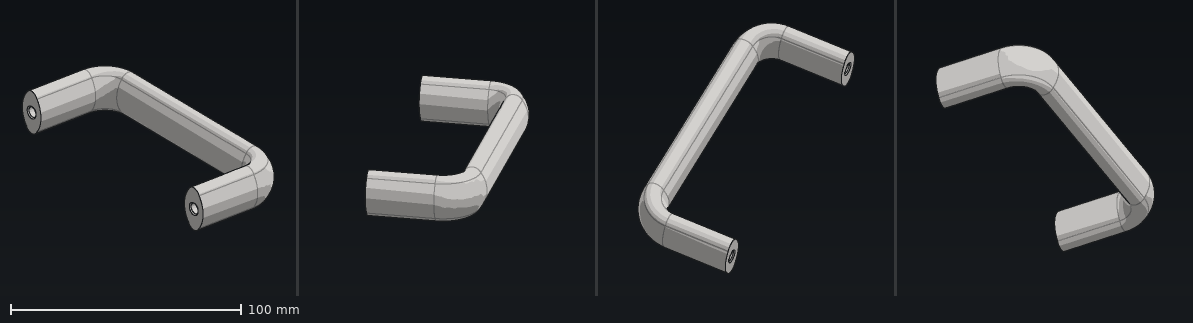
import cadquery as cq
import math

length = 125.0
reach = 50.0
height = 21.0

thickness = 13.0
seam_half_width = 3.8
seam_half_height = 8.1

bend_radius = 13.0

hole_diameter = 4.9
countersink_diameter = 6.0
hole_depth = 15.0
drill_point_angle = 118.0

leg_x = (length - thickness) / 2
grip_y = reach - thickness / 2
bend_start_y = grip_y - bend_radius
bend_end_x = leg_x - bend_radius


def bar_path():
    """Centreline: up one leg, along the grip and down the other leg."""
    mid_x = bend_end_x + bend_radius * math.sqrt(0.5)
    mid_y = bend_start_y + bend_radius * math.sqrt(0.5)
    return (
        cq.Workplane("XY")
        .moveTo(-leg_x, 0)
        .lineTo(-leg_x, bend_start_y)
        .threePointArc((-mid_x, mid_y), (-bend_end_x, grip_y))
        .lineTo(bend_end_x, grip_y)
        .threePointArc((mid_x, mid_y), (leg_x, bend_start_y))
        .lineTo(leg_x, 0)
    )


def bar():
    """Sweep the four-arc section, starting from the left foot."""
    section = (
        cq.Workplane("XZ", origin=(-leg_x, 0, 0))
        .moveTo(seam_half_width, -seam_half_height)
        .threePointArc((thickness / 2, 0), (seam_half_width, seam_half_height))
        .threePointArc((0, height / 2), (-seam_half_width, seam_half_height))
        .threePointArc((-thickness / 2, 0), (-seam_half_width, -seam_half_height))
        .threePointArc((0, -height / 2), (seam_half_width, -seam_half_height))
        .close()
    )
    return section.sweep(bar_path())


def fixing_hole(x):
    """Blind hole with a 45 degree countersink and a conical drill point."""
    hole_radius = hole_diameter / 2
    countersink_radius = countersink_diameter / 2
    countersink_depth = countersink_radius - hole_radius
    point_length = hole_radius / math.tan(math.radians(drill_point_angle / 2))
    half_profile = (
        cq.Workplane("XY")
        .polyline([
            (0, 0),
            (countersink_radius, 0),
            (hole_radius, countersink_depth),
            (hole_radius, hole_depth),
            (0, hole_depth + point_length),
        ])
        .close()
    )
    return half_profile.revolve(360, (0, 0), (0, 1)).translate((x, 0, 0))


result = bar()
for foot_x in (-leg_x, leg_x):
    result = result.cut(fixing_hole(foot_x))